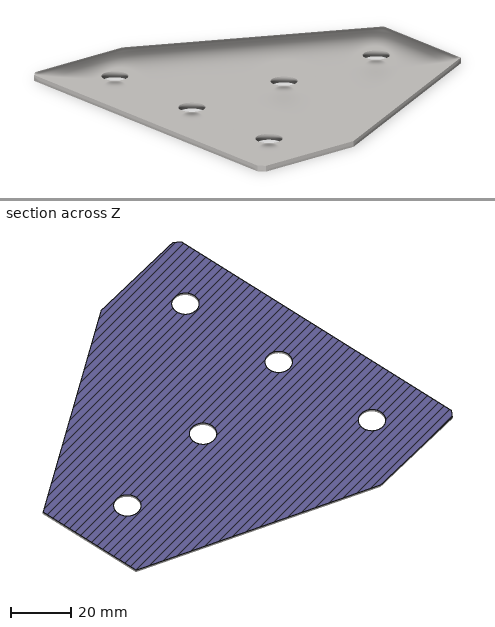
import cadquery as cq

side = 120.0
thickness = 2.0
corner_chamfer = 2.0
hole_diameter = 9.0

pitch = side / 3
half_side = side / 2
half_top = pitch / 2
shoulder_y = -half_side + pitch


def plate():
    """T-shaped joining plate with sloping sides and chamfered front corners."""
    right_half = [
        (half_side - corner_chamfer, -half_side),
        (half_side, -half_side + corner_chamfer),
        (half_side, shoulder_y),
        (half_top, half_side),
    ]
    left_half = [(-x, y) for x, y in reversed(right_half)]
    return cq.Workplane("XY").polyline(right_half + left_half).close().extrude(thickness)


def hole_tools():
    """Three holes across the base and two more up the stem."""
    base_row = [(column * pitch, -pitch) for column in (-1, 0, 1)]
    stem = [(0, row * pitch) for row in (0, 1)]
    return (
        cq.Workplane("XY")
        .pushPoints(base_row + stem)
        .circle(hole_diameter / 2)
        .extrude(thickness)
    )


result = plate().cut(hole_tools())